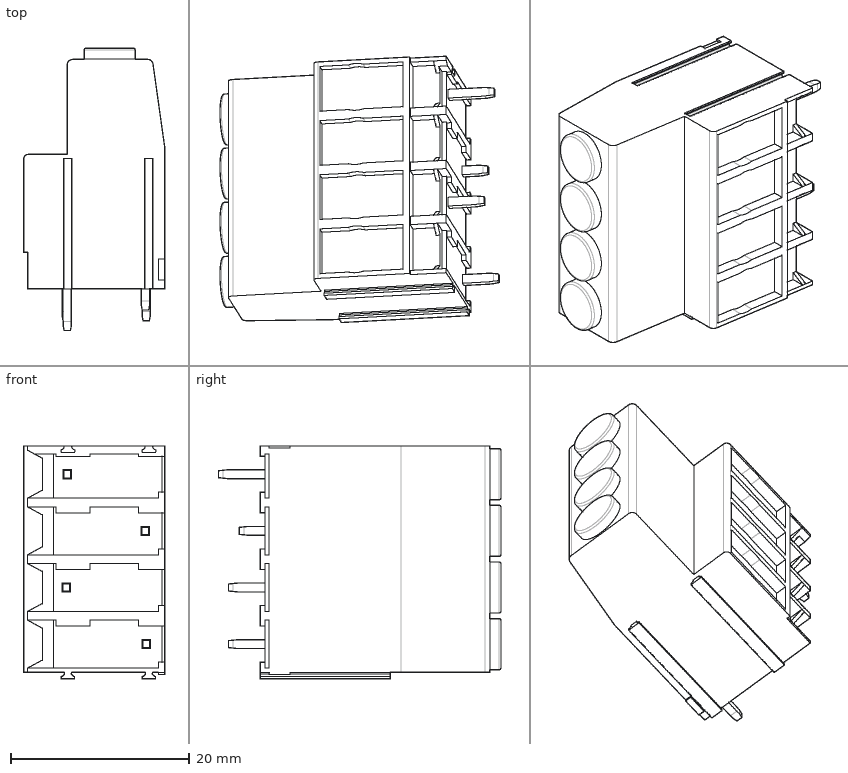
import cadquery as cq


pole_count = 4
pitch = 6.35
height = pole_count * pitch
width = 15.85
base_depth = 15.1
depth = 25.75
tower_left = 4.88
tower_right = 14.45
taper_start = 15.8
tower_radius = 0.65
base_radius = 0.55

rib_half = 0.49
rib_left = 0.45
foot_depth = 4.1
foot_wall = 2.11
face_y = 0.52
ledge_y = 1.0
face_left = 3.33
face_right = 15.53
gusset_back = 1.46
gusset_rise = 0.9
top_lip_drop = 0.91

block_drop = 1.17
left_block_start = 3.64
left_block_end = 7.45
right_block_start = 12.88
corner_block_start = 15.1
corner_block_rise = 0.67

entry_front = 4.87
entry_back = 14.33
entry_height = 5.24
entry_depth = 1.3
entry_bore_diameter = 5.5
entry_bore_y = 10.22

screw_diameter = 5.75
screw_x = 9.65
screw_end = 27.0
screw_edge_radius = 0.22

tail_centers = (4.97, 14.05)
tail_length = 14.6
tail_height = 0.72
tail_root_width = 0.87
tail_waist_width = 0.78
tail_width = 1.5
tail_waist_depth = 0.15
tail_shoulder_depth = 0.46
flank_sag = 0.04
groove_clearance = 0.03
groove_floor_radius = 0.15

nib_start = 15.1
nib_front = 1.0
nib_back = 3.36
nib_height = 0.23

pins = ((13.75, -3.58), (4.78, -3.58), (13.65, -2.37), (4.9, -4.68))
pin_x_size = 0.93
pin_z_size = 1.02
pin_tip_x_size = 0.72
pin_tip_z_size = 0.8
pin_tip_x_length = 0.53
pin_tip_z_length = 1.04


def box(x0, x1, y0, y1, z0, z1):
    return cq.Workplane("XY").box(x1 - x0, y1 - y0, z1 - z0, centered=False).translate((x0, y0, z0))


def prism_along_y(points, y0, y1):
    """Extrude an outline given as (x, z) points from y0 back to y1."""
    return cq.Workplane("XZ", origin=(0, y0, 0)).polyline(points).close().extrude(y0 - y1)


def pole_center(index):
    return (index + 0.5) * pitch


def make_housing():
    body = (
        cq.Workplane("XY")
        .polyline([
            (rib_left, 0),
            (width, 0),
            (width, taper_start),
            (tower_right, depth),
            (tower_left, depth),
            (tower_left, base_depth),
            (0, base_depth),
            (0, foot_depth),
            (rib_left, foot_depth),
        ])
        .close()
        .extrude(height)
    )
    base_corner = cq.selectors.NearestToPointSelector((0, base_depth, height / 2))
    body = body.faces(">Y").edges("|Z").fillet(tower_radius)
    return body.edges(base_corner).fillet(base_radius)


def front_recess(index):
    z0 = index * pitch + rib_half
    z1 = (index + 1) * pitch - rib_half
    recess = box(0, width, 0, face_y, z0, z1)
    recess = recess.union(box(0, face_left, 0, ledge_y, z0, z1))
    recess = recess.union(box(face_right, width, 0, ledge_y, z0, z1))
    return recess.union(box(0, foot_wall, 0, foot_depth, z0, z1))


def gussets(index):
    """Triangular webs bracing the side-opening wall against the ribs below and above it."""
    z0 = index * pitch + rib_half
    z1 = (index + 1) * pitch - rib_half
    lower = [(rib_left, z0), (foot_wall, z0), (foot_wall, z0 + gusset_rise)]
    upper = [(rib_left, z1), (foot_wall, z1), (foot_wall, z1 - gusset_rise)]
    webs = prism_along_y(lower, ledge_y, gusset_back)
    return webs.union(prism_along_y(upper, ledge_y, gusset_back))


def standoff_blocks(index):
    bottom = index * pitch
    top = bottom + pitch
    hanging_z = top - block_drop
    blocks = box(left_block_start, left_block_end, 0, face_y, hanging_z, top - rib_half)
    blocks = blocks.union(box(right_block_start, width, 0, face_y, hanging_z, top - rib_half))
    corner_top = bottom + rib_half + corner_block_rise
    return blocks.union(box(corner_block_start, width, 0, face_y, bottom + rib_half, corner_top))


def top_lip():
    """Thicker front rim of the top wall, its left end following the gusset slope."""
    z_high = height - rib_half
    z_low = height - top_lip_drop
    slope_run = (z_high - z_low) * (foot_wall - rib_left) / gusset_rise
    outline = [(rib_left, z_high), (rib_left + slope_run, z_low), (width, z_low), (width, z_high)]
    return prism_along_y(outline, 0, ledge_y)


def wire_entry(index):
    z = pole_center(index)
    pocket = box(0, entry_depth, entry_front, entry_back, z - entry_height / 2, z + entry_height / 2)
    bore = cq.Workplane("YZ").center(entry_bore_y, z).circle(entry_bore_diameter / 2).extrude(entry_depth)
    return pocket.union(bore)


def screw(index):
    head = (
        cq.Workplane("XZ", origin=(0, depth, 0))
        .center(screw_x, pole_center(index))
        .circle(screw_diameter / 2)
        .extrude(depth - screw_end)
    )
    return head.faces(">Y").edges().fillet(screw_edge_radius)


def dovetail(x, z, clearance):
    """Rail hanging below height z, with curved flanks, enlarged all round by the clearance."""
    root = tail_root_width / 2 + clearance
    waist = tail_waist_width / 2 + clearance
    half = tail_width / 2 + clearance
    waist_z = -tail_waist_depth
    shoulder_z = -tail_shoulder_depth
    bottom = -tail_height - clearance
    flank_middle = (waist + half) / 2 - flank_sag
    flank_middle_z = (waist_z + shoulder_z) / 2 - flank_sag
    return (
        cq.Workplane("XZ", origin=(x, 0, z))
        .moveTo(-root, 0)
        .lineTo(-waist, waist_z)
        .threePointArc((-flank_middle, flank_middle_z), (-half, shoulder_z))
        .lineTo(-half, bottom)
        .lineTo(half, bottom)
        .lineTo(half, shoulder_z)
        .threePointArc((flank_middle, flank_middle_z), (waist, waist_z))
        .lineTo(root, 0)
        .close()
        .extrude(-tail_length - clearance)
    )


def groove(x):
    """Space in the top wall for the tail of a neighbouring block, with a rounded floor."""
    space = dovetail(x, height, groove_clearance)
    return space.faces("<Z").edges("|Y").fillet(groove_floor_radius)


def tip_taper(half_root, half_tip, length, tip_y, root_y):
    """Outline of a pin in one plane, as (across, y) points around the pin axis."""
    return [
        (-half_root, root_y),
        (-half_root, tip_y + length),
        (-half_tip, tip_y),
        (half_tip, tip_y),
        (half_root, tip_y + length),
        (half_root, root_y),
    ]


def pin(index):
    x, tip_y = pins[index]
    z = pole_center(index)
    side = tip_taper(pin_x_size / 2, pin_tip_x_size / 2, pin_tip_x_length, tip_y, ledge_y)
    flat = tip_taper(pin_z_size / 2, pin_tip_z_size / 2, pin_tip_z_length, tip_y, ledge_y)
    plan = cq.Workplane("XY").polyline(side).close().extrude(pin_z_size / 2, both=True)
    profile = [(y, across) for across, y in flat]
    elevation = cq.Workplane("YZ").polyline(profile).close().extrude(pin_x_size / 2, both=True)
    return plan.intersect(elevation).translate((x, 0, z))


result = make_housing()
for pole in range(pole_count):
    result = result.cut(front_recess(pole)).cut(wire_entry(pole))
    result = result.union(gussets(pole)).union(standoff_blocks(pole))
    result = result.union(screw(pole)).union(pin(pole))
result = result.union(top_lip())
for tail_x in tail_centers:
    result = result.cut(groove(tail_x))
    result = result.union(dovetail(tail_x, 0, 0))
result = result.cut(box(nib_start, width, nib_front, nib_back, height - nib_height, height))
result = result.union(box(nib_start, width, nib_front, nib_back, -nib_height, 0))